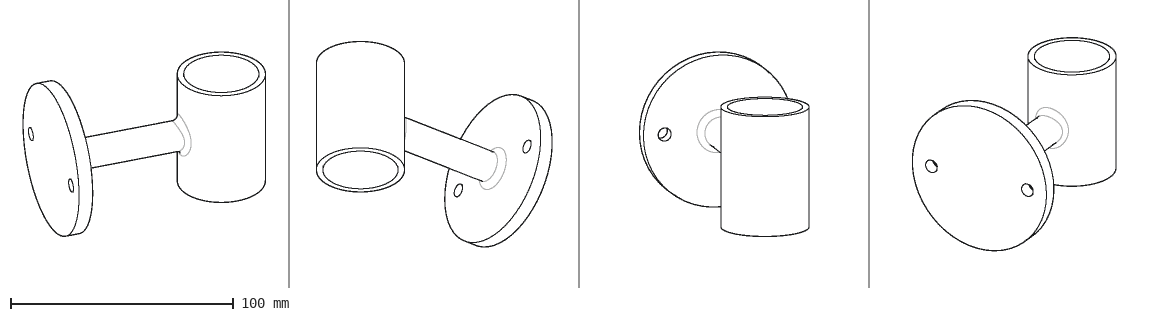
import cadquery as cq

total_length = 101.8
flange_diameter = 70.0
flange_thickness = 6.6
screw_hole_diameter = 6.0
screw_hole_spacing = 50.0

sleeve_outer_diameter = 39.7
sleeve_inner_diameter = 33.8
sleeve_height = 55.2

rod_diameter = 14.2
fillet_radius = 2.9

sleeve_center_y = total_length - sleeve_outer_diameter / 2


def cylinder_along_y(diameter, start_y, end_y):
    """Solid cylinder on the Y axis between two Y positions."""
    plane = cq.Plane(origin=(0, start_y, 0), xDir=(1, 0, 0), normal=(0, 1, 0))
    return cq.Workplane(plane).circle(diameter / 2).extrude(end_y - start_y)


def cylinder_along_z(diameter):
    """Solid cylinder on the sleeve axis, as tall as the sleeve."""
    return (
        cq.Workplane("XY", origin=(0, sleeve_center_y, -sleeve_height / 2))
        .circle(diameter / 2)
        .extrude(sleeve_height)
    )


flange = cylinder_along_y(flange_diameter, 0, flange_thickness)
rod = cylinder_along_y(rod_diameter, 0, sleeve_center_y)
body = flange.union(rod).union(cylinder_along_z(sleeve_outer_diameter))

joint_box = cq.selectors.BoxSelector(
    (-rod_diameter, flange_thickness / 2, -rod_diameter),
    (rod_diameter, sleeve_center_y, rod_diameter),
    boundingbox=True,
)
body = body.edges(joint_box).edges("not %LINE").fillet(fillet_radius)

body = body.cut(cylinder_along_z(sleeve_inner_diameter))

for side in (-1, 1):
    screw_hole = cylinder_along_y(screw_hole_diameter, 0, flange_thickness)
    body = body.cut(screw_hole.translate((side * screw_hole_spacing / 2, 0, 0)))

result = body